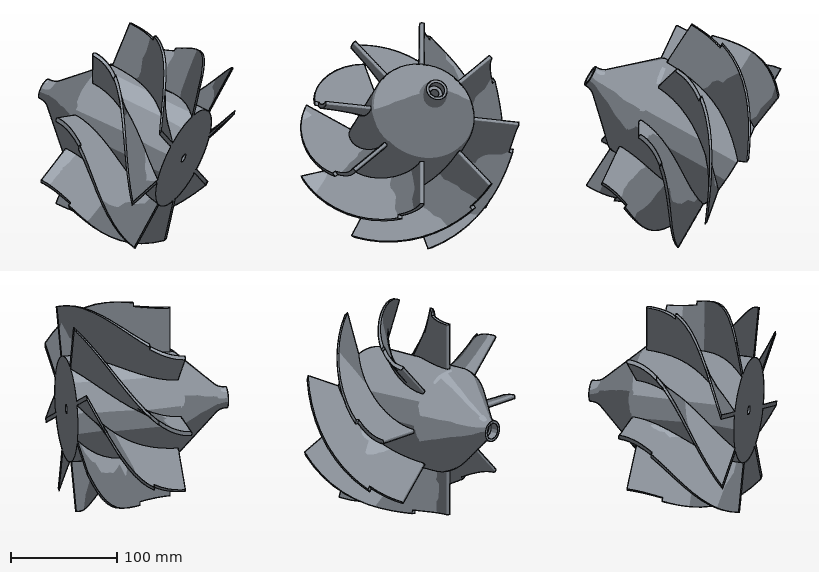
import cadquery as cq
import math


hub_radius = 100.0 / 2
hub_length = 100.0
nose_length = 54.1
cone_angle = math.radians(42)
rim_length = 4.5
neck_radius = 20.2 / 2
neck_straight_length = 2.0

bore_diameter = 8.1
counterbore_diameter = 15.0
counterbore_depth = 8.1

blade_count = 8
blade_thickness = 4.0
blade_tip_radius = 97.0
front_tip_radius = 93.5
front_tip_length = 32.5
nose_round = 1.5
root_radius = 38.8
outer_allowance = 5.8
quadratic_twist = 78.0
cubic_twist = -7.7
twist_stations = 8


def twist_angle(x):
    """Blade rotation about the axis, in radians; it grows from zero at the leading edge."""
    s = x / hub_length
    return math.radians(quadratic_twist * s**2 + cubic_twist * s**3)


def make_hub():
    rim_arc_radius = rim_length / math.sin(cone_angle)
    rim_start_radius = hub_radius - rim_arc_radius * (1 - math.cos(cone_angle))
    rim_mid = (
        -rim_arc_radius * math.sin(cone_angle / 2),
        hub_radius - rim_arc_radius * (1 - math.cos(cone_angle / 2)),
    )

    neck_end = -nose_length + neck_straight_length
    cone_run = -rim_length - neck_end
    rise = rim_start_radius - neck_radius
    half_tangent = math.tan(cone_angle / 2)
    neck_fillet = (cone_run - rise / math.tan(cone_angle)) / half_tangent
    fillet_mid = (
        neck_end + neck_fillet * math.sin(cone_angle / 2),
        neck_radius + neck_fillet * (1 - math.cos(cone_angle / 2)),
    )
    fillet_end = (
        neck_end + neck_fillet * math.sin(cone_angle),
        neck_radius + neck_fillet * (1 - math.cos(cone_angle)),
    )
    return (
        cq.Workplane("XY")
        .moveTo(-nose_length, 0)
        .lineTo(-nose_length, neck_radius)
        .lineTo(neck_end, neck_radius)
        .threePointArc(fillet_mid, fillet_end)
        .lineTo(-rim_length, rim_start_radius)
        .threePointArc(rim_mid, (0, hub_radius))
        .lineTo(hub_length, hub_radius)
        .lineTo(hub_length, 0)
        .close()
        .revolve(360, (0, 0, 0), (1, 0, 0))
    )


def blade_edge(radius, side_offset):
    """Curve followed by one corner of the blade section."""
    points = []
    for i in range(twist_stations + 1):
        x = hub_length * i / twist_stations
        angle = twist_angle(x)
        y = radius * math.cos(angle) - side_offset * math.sin(angle)
        z = radius * math.sin(angle) + side_offset * math.cos(angle)
        points.append(cq.Vector(x, y, z))
    return cq.Edge.makeSpline(points)


def make_blade():
    half = blade_thickness / 2
    outer_radius = blade_tip_radius + outer_allowance
    corners = [(root_radius, -half), (outer_radius, -half), (outer_radius, half), (root_radius, half)]
    edges = [blade_edge(radius, offset) for radius, offset in corners]
    faces = []
    for i, edge in enumerate(edges):
        faces.append(cq.Face.makeRuledSurface(edge, edges[(i + 1) % len(edges)]))
    for end in (0, 1):
        points = [edge.positionAt(end) for edge in edges]
        faces.append(cq.Face.makeFromWires(cq.Wire.makePolygon(points, close=True)))
    solid = cq.Solid.makeSolid(cq.Shell.makeShell(faces))
    rounded = cq.Workplane("XY").newObject([solid.fix()]).faces("<X").edges(">Z or <Z").fillet(nose_round)
    return rounded.intersect(make_tip_envelope())


def make_tip_envelope():
    front = cq.Workplane("YZ").circle(front_tip_radius).extrude(hub_length)
    rear = (
        cq.Workplane("YZ", origin=(front_tip_length, 0, 0))
        .circle(blade_tip_radius)
        .extrude(hub_length - front_tip_length)
    )
    return front.union(rear)


def cut_bore(body):
    bore_start = cq.Workplane("YZ", origin=(-nose_length, 0, 0))
    bore = bore_start.circle(bore_diameter / 2).extrude(nose_length + hub_length)
    counterbore = bore_start.circle(counterbore_diameter / 2).extrude(counterbore_depth)
    return body.cut(bore).cut(counterbore)


impeller = make_hub()
blade = make_blade()
for index in range(blade_count):
    impeller = impeller.union(blade.rotate((0, 0, 0), (1, 0, 0), index * 360 / blade_count))

result = cut_bore(impeller)